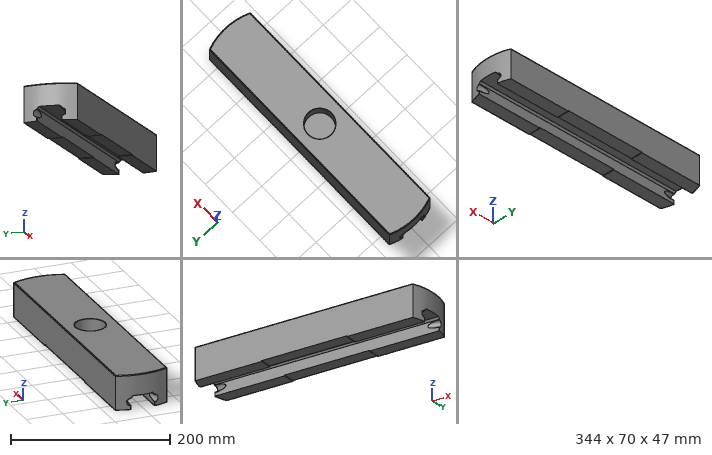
import cadquery as cq
import math

length = 344.0
width = 70.0
height = 47.0
end_bulge = 7.0
top_chamfer = 1.0

channel_width = 32.0
channel_height = 18.5
channel_chamfer = 2.8

pocket_diameter = 40.0
pocket_depth = 21.3
pocket_chamfer = 0.5

relief_length = 128.5
relief_depth = 1.0

recess_radius = 4.8
recess_angle = 18.0
recess_offset = 16.5
recess_height = 10.3
recess_reach = 24.0

mouth_bevel = 0.7


def make_body():
    """Bar with bowed ends and a chamfered top edge."""
    half_width = width / 2
    end_x = length / 2
    corner_x = end_x - end_bulge
    outline = (
        cq.Workplane("XY")
        .moveTo(-corner_x, -half_width)
        .lineTo(corner_x, -half_width)
        .threePointArc((end_x, 0), (corner_x, half_width))
        .lineTo(-corner_x, half_width)
        .threePointArc((-end_x, 0), (-corner_x, -half_width))
        .close()
    )
    return outline.extrude(height).faces(">Z").chamfer(top_chamfer)


def make_channel():
    """Full-length channel with chamfered upper corners."""
    channel = cq.Workplane("XY").box(length, channel_width, channel_height, centered=(True, True, False))
    return channel.edges("|X and >Z").chamfer(channel_chamfer)


def make_pocket():
    """Round blind pocket with a small chamfer at its rim."""
    floor_z = height - pocket_depth
    radius = pocket_diameter / 2
    pocket = cq.Workplane("XY").workplane(offset=floor_z).circle(radius).extrude(pocket_depth)
    rim = cq.Solid.makeCone(
        radius, radius + pocket_chamfer, pocket_chamfer, pnt=cq.Vector(0, 0, height - pocket_chamfer)
    )
    return pocket.union(cq.Workplane(rim))


def make_relief():
    """Shallow flat cut across the middle of the underside."""
    return cq.Workplane("XY").box(relief_length, width, relief_depth, centered=(True, True, False))


def make_end_recess(end, side):
    """Cylinder that slants from the bowed end face toward the channel."""
    angle = math.radians(recess_angle)
    mouth_x = length / 2 - end_bulge * (2 * recess_offset / width) ** 2
    mouth = cq.Vector(end * mouth_x, side * recess_offset, recess_height)
    inward = cq.Vector(-end * math.cos(angle), -side * math.sin(angle), 0)
    start = mouth - inward * end_bulge
    return cq.Workplane(cq.Solid.makeCylinder(recess_radius, end_bulge + recess_reach, start, inward))


def bevel_mouths(body):
    """Bevel the upright edges inside the side faces, which are the channel mouth corners."""
    near_channel = cq.selectors.BoxSelector(
        (-length, -channel_width, 0), (length, channel_width, height)
    )
    return body.edges("|Z").edges(near_channel).chamfer(mouth_bevel)


result = bevel_mouths(make_body().cut(make_channel()))
result = result.cut(make_pocket()).cut(make_relief())
for end in (-1, 1):
    for side in (-1, 1):
        result = result.cut(make_end_recess(end, side))